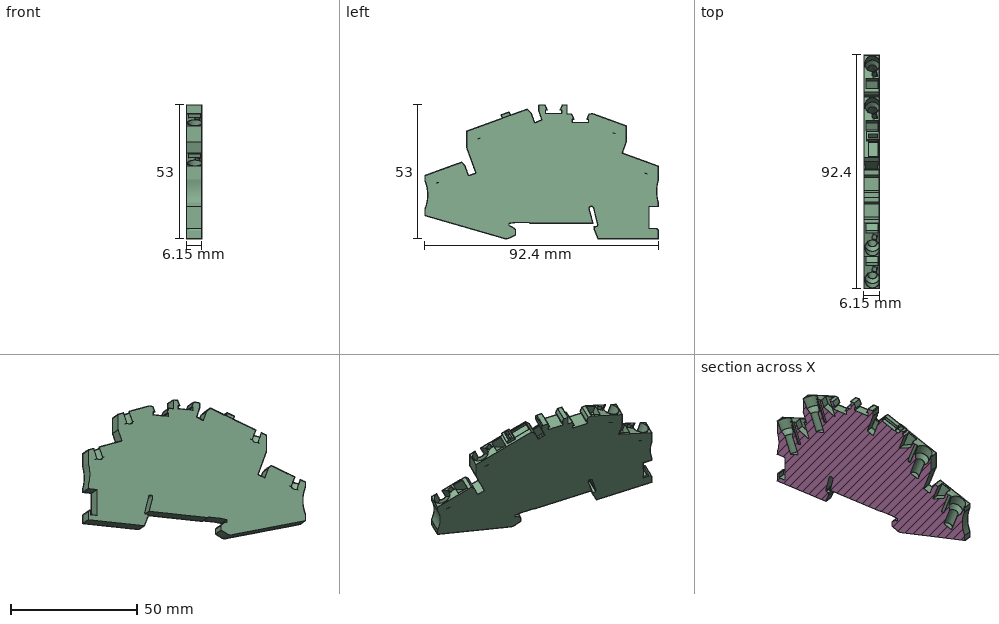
import cadquery as cq
import math

WIDTH = 6.15
LENGTH = 92.4
HEIGHT = 53.02

FACE_TILT = 20.0
FACE_SLOPE = math.tan(math.radians(FACE_TILT))

LOW_FRONT_EDGE = (0.0, 28.75)
HIGH_FRONT_EDGE = (12.7, 44.68)
LOW_BACK_EDGE = (LENGTH, 25.05)
HIGH_BACK_EDGE = (75.85, 42.6)

LOW_FRONT_TOP_Y = 14.27
HIGH_FRONT_TOP_Y = 26.0
LOW_BACK_TOP_Y = 77.8
HIGH_BACK_TOP_Y = 51.9

RECESS_DEPTH = 3.37
BARB_DEPTH = 2.1
BARB_OVERHANG = 0.65
BARB_LEAN = 0.9
LOW_SHELF_Z = 49.4
HIGH_RECESS = (44.85, 38.0)
LOW_RECESS = (34.3, 27.45)

RAIL_SEAT_Z = 6.15
LIP_TOP_Z = 4.15
LIP_RADIUS = 1.1
NOTCH_TOP_Z = 12.8
NOTCH_DEPTH_Y = 3.65
LIP_RECESS_WALL = 0.65
LIP_RECESS_DEPTH = 2.0

FUNNEL_X = 3.4
FUNNEL_DISTANCE = 3.64
MOUTH_RADIUS = 2.95
MOUTH_END_RADIUS = 3.05
RIM_HALF_LENGTH = 3.3
BORE_RADIUS = 1.88
MOUTH_DEPTH = 4.4
CONE_HALF_ANGLE = 28.0
BORE_LENGTH = 8.0

PROBE_X = 4.35
PROBE_DISTANCE = 8.2
PROBE_SIDE = 1.9
PROBE_TURN = -14.0
PROBE_DEPTH = 10.0

SLOT_X = (0.8, 5.55)
SLOT_START = 9.85
SLOT_LENGTH = 4.15
SLOT_WALL_DEPTH = 3.2
SLOT_RAMP_ANGLE = 45.0

MARKER_X = (1.05, 6.0)
MARKER_DISTANCE = 15.0
MARKER_TOP_LENGTH = 3.4
MARKER_HEIGHT = 1.4
MARKER_DRAFT = 6.0
WINDOW_X = (1.75, 5.5)
WINDOW_MARGIN = 1.1
WINDOW_LENGTH = 1.6
WINDOW_DEPTH = 2.4
WINDOW_LEAN = 18.0
CHANNEL_X = (1.85, 5.55)
CHANNEL_LENGTH = 6.65
CHANNEL_DEPTH = 1.2

HIGH_NOTCH_BOTTOM = (48.9, 45.9)
HIGH_NOTCH_INNER = (46.15, 47.1)
HIGH_NOTCH_WALL_RISE = 3.75
NOTCH_POCKET_X = (0.7, 5.5)
NOTCH_POCKET_DEPTH = 5.0


def face_top(edge, top_y):
    """Inner end of a terminal face that rises from its outer edge."""
    return (top_y, edge[1] + abs(top_y - edge[0]) * FACE_SLOPE)


def barbed_recess(back_y, front_y, top_z):
    """Points of a recess between two lips, walked from back (+Y) to front (-Y)."""
    barb_z = top_z - BARB_DEPTH
    floor_z = top_z - RECESS_DEPTH
    wall_inset = BARB_LEAN - BARB_OVERHANG
    return [
        (back_y, top_z),
        (back_y - BARB_LEAN, barb_z),
        (back_y - wall_inset, barb_z),
        (back_y - wall_inset, floor_z),
        (front_y + wall_inset, floor_z),
        (front_y + wall_inset, barb_z),
        (front_y + BARB_LEAN, barb_z),
        (front_y, top_z),
    ]


def draw_lines(sketch, points):
    for point in points:
        sketch = sketch.lineTo(*point)
    return sketch


def make_body():
    """Side outline, walked from the front foot corner over the top to the rail hook."""
    s = cq.Workplane("YZ").moveTo(23.9, 0)
    s = draw_lines(s, [(0, 0), (0, LIP_TOP_Z - LIP_RADIUS)])
    s = s.radiusArc((LIP_RADIUS, LIP_TOP_Z), LIP_RADIUS)
    s = draw_lines(s, [(NOTCH_DEPTH_Y, LIP_TOP_Z), (NOTCH_DEPTH_Y, NOTCH_TOP_Z), (0, NOTCH_TOP_Z), (0, 14.2)])
    s = s.threePointArc((0.67, 18.8), (0, 23.4))
    s = draw_lines(s, [
        LOW_FRONT_EDGE,
        face_top(LOW_FRONT_EDGE, LOW_FRONT_TOP_Y),
        (HIGH_FRONT_EDGE[0], 38.3),
        HIGH_FRONT_EDGE,
        face_top(HIGH_FRONT_EDGE, HIGH_FRONT_TOP_Y),
    ])
    s = draw_lines(s, reversed(barbed_recess(*LOW_RECESS, LOW_SHELF_Z)))
    s = draw_lines(s, [(36.15, LOW_SHELF_Z), (36.15, HEIGHT)])
    s = draw_lines(s, reversed(barbed_recess(*HIGH_RECESS, HEIGHT)))
    outer_y, outer_z = HIGH_NOTCH_BOTTOM
    s = draw_lines(s, [
        (46.95, HEIGHT),
        (47.4, HEIGHT - 0.25),
        (47.4, 50.8),
        HIGH_NOTCH_INNER,
        HIGH_NOTCH_BOTTOM,
        (outer_y + HIGH_NOTCH_WALL_RISE * FACE_SLOPE, outer_z + HIGH_NOTCH_WALL_RISE),
        face_top(HIGH_BACK_EDGE, HIGH_BACK_TOP_Y),
        HIGH_BACK_EDGE,
    ])
    s = draw_lines(s, [
        (75.85, 36.05),
        (72.2, 26.0),
        (75.1, 25.05),
        (76.55, 29.05),
        face_top(LOW_BACK_EDGE, LOW_BACK_TOP_Y),
        LOW_BACK_EDGE,
        (LENGTH, 23.1),
    ])
    s = s.threePointArc((LENGTH - 1.15, 17.4), (LENGTH, 11.7))
    s = draw_lines(s, [(LENGTH, 9.2), (61.2, 0.2)])
    s = s.threePointArc((60.1, 0), (59.05, 0.25))
    s = draw_lines(s, [(56.45, 1.55), (56.45, 3.5)])
    s = s.threePointArc((57.3, 4.4), (59.0, 5.2))
    s = draw_lines(s, [
        (59.0, 6.1),
        (56.6, 6.4),
        (51.2, 6.4),
        (50.8, RAIL_SEAT_Z),
        (25.85, RAIL_SEAT_Z),
        (27.4, 11.9),
    ])
    s = s.threePointArc((26.7, 12.85), (25.7, 12.3))
    s = draw_lines(s, [(24.05, 5.6), (24.2, 5.0), (25.4, 4.8), (25.4, 3.75)])
    return s.close().extrude(WIDTH)


def yz_prism(x_span, points):
    """Prism of a YZ polygon between two x limits."""
    side_plane = cq.Workplane("YZ", origin=(x_span[0], 0, 0))
    return side_plane.polyline(points).close().extrude(x_span[1] - x_span[0])


def place_on_face(shape, edge, on_back):
    """Move a shape built on a level face (outer edge at y = 0, inward = +Y) to its sloping face."""
    shape = shape.rotate((0, 0, 0), (1, 0, 0), FACE_TILT)
    if on_back:
        shape = shape.mirror("XZ")
    return shape.translate((0, edge[0], edge[1]))


def wire_funnel():
    """Wire entry: mouth tapering from an oval rim to a circle, then a cone and a bore."""
    cone_depth = (MOUTH_END_RADIUS - BORE_RADIUS) / math.tan(math.radians(CONE_HALF_ANGLE))
    mouth = (
        cq.Workplane("XY")
        .ellipse(MOUTH_RADIUS, RIM_HALF_LENGTH)
        .workplane(offset=-MOUTH_DEPTH)
        .circle(MOUTH_END_RADIUS)
        .loft()
    )
    bore_end = MOUTH_DEPTH + cone_depth + BORE_LENGTH
    profile = [
        (0, -MOUTH_DEPTH),
        (MOUTH_END_RADIUS, -MOUTH_DEPTH),
        (BORE_RADIUS, -MOUTH_DEPTH - cone_depth),
        (BORE_RADIUS, -bore_end),
        (0, -bore_end),
    ]
    throat = cq.Workplane("XZ").polyline(profile).close().revolve(360, (0, 0, 0), (0, 1, 0))
    return mouth.union(throat).translate((FUNNEL_X, FUNNEL_DISTANCE, 0))


def probe_hole():
    """Square test-probe hole, turned about its own axis."""
    hole = cq.Workplane("XY").rect(PROBE_SIDE, PROBE_SIDE).extrude(-PROBE_DEPTH)
    return hole.rotate((0, 0, 0), (0, 0, 1), PROBE_TURN).translate((PROBE_X, PROBE_DISTANCE, 0))


def release_slot():
    """Screwdriver slot whose floor ramps down from the outer wall."""
    end = SLOT_START + SLOT_LENGTH
    end_depth = SLOT_WALL_DEPTH + SLOT_LENGTH * math.tan(math.radians(SLOT_RAMP_ANGLE))
    return yz_prism(SLOT_X, [(SLOT_START, 0), (SLOT_START, -SLOT_WALL_DEPTH), (end, -end_depth), (end, 0)])


def cut_terminal(body, edge, on_back):
    for cutter in (wire_funnel(), probe_hole(), release_slot()):
        body = body.cut(place_on_face(cutter, edge, on_back))
    return body


def add_marker(body):
    """Raised marker block with a leaning window, and the shallow channel beside it."""
    draft = math.tan(math.radians(MARKER_DRAFT))
    marker_end = MARKER_DISTANCE + MARKER_TOP_LENGTH
    base_end = marker_end + MARKER_HEIGHT * draft
    marker = yz_prism(MARKER_X, [
        (MARKER_DISTANCE, 0),
        (MARKER_DISTANCE, MARKER_HEIGHT),
        (marker_end, MARKER_HEIGHT),
        (base_end, 0),
    ])
    channel_end = base_end + CHANNEL_LENGTH
    channel = yz_prism(CHANNEL_X, [
        (base_end, 0),
        (base_end + CHANNEL_DEPTH * draft, -CHANNEL_DEPTH),
        (channel_end, -CHANNEL_DEPTH),
        (channel_end, 0),
    ])
    window_start = MARKER_DISTANCE + WINDOW_MARGIN
    window_end = window_start + WINDOW_LENGTH
    shift = WINDOW_DEPTH * math.tan(math.radians(WINDOW_LEAN))
    window_floor = MARKER_HEIGHT - WINDOW_DEPTH
    window = yz_prism(WINDOW_X, [
        (window_start, MARKER_HEIGHT),
        (window_end, MARKER_HEIGHT),
        (window_end + shift, window_floor),
        (window_start + shift, window_floor),
    ])
    body = body.union(place_on_face(marker, HIGH_BACK_EDGE, True))
    body = body.cut(place_on_face(channel, HIGH_BACK_EDGE, True))
    return body.cut(place_on_face(window, HIGH_BACK_EDGE, True))


def cut_notch_pocket(body):
    """Pocket that continues the relief notch's outer wall below the notch floor."""
    drop_y = NOTCH_POCKET_DEPTH * math.sin(math.radians(FACE_TILT))
    drop_z = NOTCH_POCKET_DEPTH * math.cos(math.radians(FACE_TILT))
    outer_y, outer_z = HIGH_NOTCH_BOTTOM
    inner_y, inner_z = HIGH_NOTCH_INNER
    return body.cut(yz_prism(NOTCH_POCKET_X, [
        (outer_y, outer_z),
        (inner_y, inner_z),
        (inner_y - drop_y, inner_z - drop_z),
        (outer_y - drop_y, outer_z - drop_z),
    ]))


def cut_lip_recess(body):
    """Recess behind the rounded lip, closed by a thin wall at x = 0 and open at the far side."""
    floor_z = LIP_TOP_Z - LIP_RECESS_DEPTH
    return body.cut(yz_prism((LIP_RECESS_WALL, WIDTH), [
        (LIP_RADIUS, LIP_TOP_Z),
        (NOTCH_DEPTH_Y, LIP_TOP_Z),
        (NOTCH_DEPTH_Y, floor_z),
        (LIP_RADIUS, floor_z),
    ]))


result = make_body()
for face_edge in (LOW_FRONT_EDGE, HIGH_FRONT_EDGE):
    result = cut_terminal(result, face_edge, False)
for face_edge in (LOW_BACK_EDGE, HIGH_BACK_EDGE):
    result = cut_terminal(result, face_edge, True)
result = add_marker(result)
result = cut_notch_pocket(result)
result = cut_lip_recess(result)